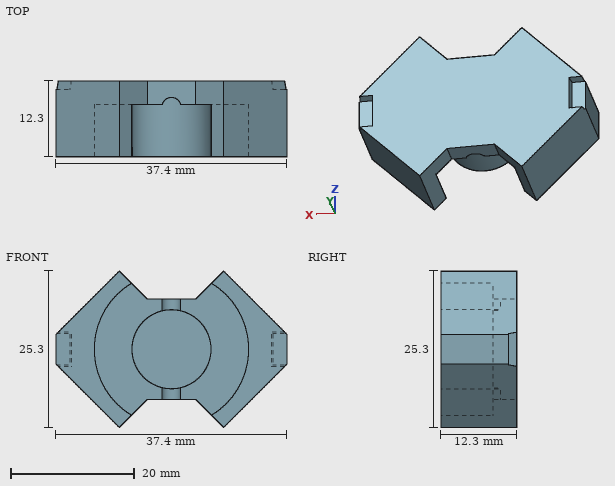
import cadquery as cq

length = 37.4
depth = 12.3
height = 25.33

peak_x = 8.43
waist_height = 16.3

bore_diameter = 25.0
bore_depth = 8.45
post_diameter = 12.8

groove_diameter = 3.1
groove_depth = 1.15

pocket_depth = 1.4
pocket_reach = 2.5
pocket_width = 5.55
pocket_draft = 10

floor_y = bore_depth
end_x = length / 2


def core_block():
    """Waisted block with pointed wings, mirrored across the XY and YZ planes."""
    peak_z = height / 2
    end_z = peak_z - (end_x - peak_x)
    waist_z = waist_height / 2
    waist_x = peak_x - (peak_z - waist_z)
    right = [(waist_x, waist_z), (peak_x, peak_z), (end_x, end_z)]
    right += [(x, -z) for x, z in reversed(right)]
    left = [(-x, -z) for x, z in right]
    return cq.Workplane("XZ").polyline(right + left).close().extrude(-depth)


def cylinder_along_y(diameter, cylinder_length):
    """Cylinder on the core axis, starting at the open face."""
    return cq.Workplane("XZ").circle(diameter / 2).extrude(-cylinder_length)


def wire_groove():
    """Round bar along Z that sinks into the floor by the groove depth."""
    axis_y = floor_y + groove_depth - groove_diameter / 2
    return (
        cq.Workplane("XY")
        .center(0, axis_y)
        .circle(groove_diameter / 2)
        .extrude(waist_height / 2, both=True)
    )


def clip_pocket(side):
    """Cutter for the drafted pocket at the +X (side = 1) or -X (side = -1) end."""
    return (
        cq.Workplane("XZ", origin=(side * end_x, depth, 0))
        .rect(2 * pocket_reach, pocket_width)
        .extrude(pocket_depth, taper=pocket_draft)
    )


result = core_block().cut(cylinder_along_y(bore_diameter, bore_depth)).cut(wire_groove())
result = result.union(cylinder_along_y(post_diameter, floor_y + groove_depth))
for side in (1, -1):
    result = result.cut(clip_pocket(side))